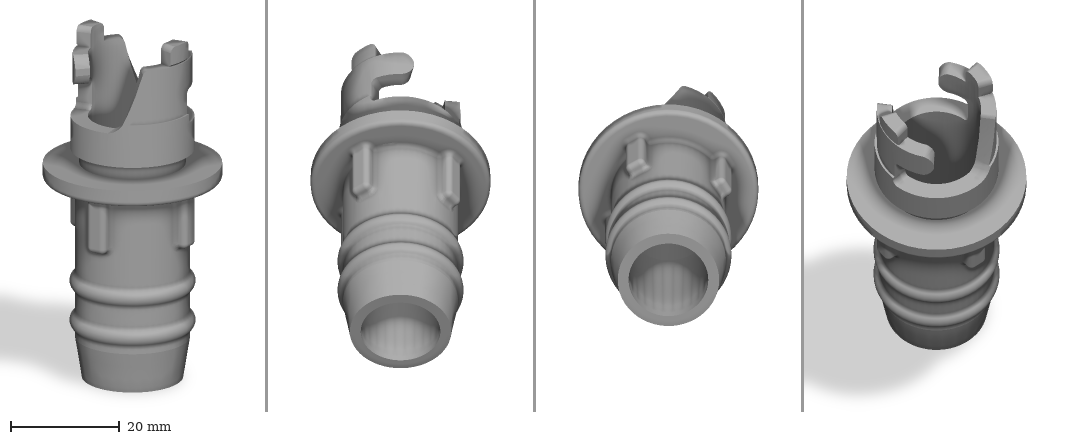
import cadquery as cq
import math

TOTAL_HEIGHT = 66.8
ARM_TOP = 63.0
SHOULDER_Z = 52.6
GAP_FLOOR = 50.8
COLLAR_BOTTOM = 44.4
FLANGE_TOP = 41.7
FLANGE_BOTTOM = 38.5
TAPER_TOP = 7.9

FLANGE_RADIUS = 16.55
COLLAR_RADIUS = 11.4
ARM_RADIUS = 11.0
NECK_RADIUS = 9.8
BARREL_RADIUS = 10.6
TIP_RADIUS = 9.35
UPPER_BORE_RADIUS = 8.2
LOWER_BORE_RADIUS = 7.35
BORE_TAPER_TOP = 26.7
FLANGE_EDGE_ROUND = 0.95

RING_CENTRES = (18.7, 11.0)
RING_RADIUS = 11.6
RING_SECTION_RADIUS = 1.7
RING_ROOT_FILLET = 1.15

RIB_COUNT = 4
RIB_RADIUS = 12.8
RIB_WIDTH = 3.9
RIB_BOTTOM = 27.4
RIB_EDGE_ROUND = 1.0
ROOT_FILLET = 0.9

HOOK_TIP_ANGLE = 230.0
HOOK_ROOT_ANGLE = 215.0
SLOPE_FOOT_ANGLE = 290.0
SLOPE_TOP_ANGLE = 314.0
GAP_MOUTH_ANGLE = 320.0
HOOK_BOTTOM = 57.25
HOOK_CORNER_ROUND = 2.2
GAP_CORNER_ROUND = 3.0
ARM_CORNER_ROUND = 0.95
NOTCH_END_ANGLE = 188.0
NOTCH_CORNER_ROUND = 1.0

PRONG_START_ANGLE = 162.4
PRONG_END_ANGLE = 192.2
PRONG_CORNER_ROUND = 1.1
PRONG_BASE_CHAMFER = 0.4

BLOCK_INNER_RADIUS = 2.7
BLOCK_OUTER_RADIUS = 20.05
CLEARANCE = 1.35
TOLERANCE = 0.01


def revolved(profile):
    """Turn a profile about Z, with the seam of its faces midway between the ribs and clear of the prongs."""
    turned = profile.close().revolve(360, (0, 0, 0), (0, 1, 0))
    return turned.rotate((0, 0, 0), (0, 0, 1), 180 / RIB_COUNT)


def half_turn_about_axis(shape):
    """Copy of a shape on the opposite side of the Z axis."""
    return shape.rotate((0, 0, 0), (0, 0, 1), 180)


def body():
    """Barrel, flange, neck, collar and uncut arm tube, undercut at the foot of the prongs."""
    profile = (
        cq.Workplane("XZ")
        .lineTo(TIP_RADIUS, 0)
        .lineTo(BARREL_RADIUS, TAPER_TOP)
        .lineTo(BARREL_RADIUS, FLANGE_BOTTOM)
        .lineTo(FLANGE_RADIUS, FLANGE_BOTTOM)
        .lineTo(FLANGE_RADIUS, FLANGE_TOP)
        .lineTo(NECK_RADIUS, FLANGE_TOP)
        .lineTo(NECK_RADIUS, COLLAR_BOTTOM)
        .lineTo(COLLAR_RADIUS, COLLAR_BOTTOM)
        .lineTo(COLLAR_RADIUS, SHOULDER_Z)
        .lineTo(ARM_RADIUS, SHOULDER_Z)
        .lineTo(ARM_RADIUS, ARM_TOP)
        .lineTo(ARM_RADIUS - PRONG_BASE_CHAMFER, ARM_TOP)
        .lineTo(ARM_RADIUS, ARM_TOP + PRONG_BASE_CHAMFER)
        .lineTo(ARM_RADIUS, TOTAL_HEIGHT)
        .lineTo(0, TOTAL_HEIGHT)
    )
    turned = revolved(profile)
    flange_edge = cq.selectors.RadiusNthSelector(-1)
    return turned.edges(flange_edge).edges("<Z").fillet(FLANGE_EDGE_ROUND)


def ring(centre_z):
    """Rounded sealing ring blended into the barrel by a fillet on each side."""
    section_centre = RING_RADIUS - RING_SECTION_RADIUS
    fillet_centre = BARREL_RADIUS + RING_ROOT_FILLET
    centre_distance = RING_SECTION_RADIUS + RING_ROOT_FILLET
    rise = math.sqrt(centre_distance**2 - (fillet_centre - section_centre) ** 2)
    share = RING_SECTION_RADIUS / centre_distance
    tangent_radius = section_centre + share * (fillet_centre - section_centre)
    tangent_rise = share * rise
    half_turn = math.atan2(rise, fillet_centre - section_centre) / 2
    middle_radius = fillet_centre - RING_ROOT_FILLET * math.cos(half_turn)
    middle_rise = rise - RING_ROOT_FILLET * math.sin(half_turn)
    profile = (
        cq.Workplane("XZ")
        .moveTo(UPPER_BORE_RADIUS, centre_z - rise)
        .lineTo(BARREL_RADIUS, centre_z - rise)
        .threePointArc((middle_radius, centre_z - middle_rise), (tangent_radius, centre_z - tangent_rise))
        .threePointArc((RING_RADIUS, centre_z), (tangent_radius, centre_z + tangent_rise))
        .threePointArc((middle_radius, centre_z + middle_rise), (BARREL_RADIUS, centre_z + rise))
        .lineTo(UPPER_BORE_RADIUS, centre_z + rise)
    )
    return revolved(profile)


def rib_pair():
    """Bar through the barrel along X whose rounded ends form two opposite ribs below the flange."""
    height = FLANGE_BOTTOM - RIB_BOTTOM
    block = cq.Workplane("XY", origin=(0, 0, RIB_BOTTOM)).rect(2 * RIB_RADIUS, RIB_WIDTH).extrude(height)
    return block.edges("|Z or <Z").fillet(RIB_EDGE_ROUND)


def radial_block(corners):
    """Solid with radial sides; corners are (angle, z, corner radius) seen unrolled at the arm radius."""
    angles = [corner[0] for corner in corners]
    middle = (min(angles) + max(angles)) / 2
    points = [(math.radians(angle - middle) * ARM_RADIUS, z) for angle, z, _ in corners]

    def wrapped(point, radius):
        """Place of an unrolled point when seen from the axis on a tangent plane."""
        return (radius * math.tan(point[0] / ARM_RADIUS), point[1])

    arcs = []
    for index, (_, _, rounding) in enumerate(corners):
        here = cq.Vector(*points[index])
        back = (cq.Vector(*points[index - 1]) - here).normalized()
        ahead = (cq.Vector(*points[(index + 1) % len(points)]) - here).normalized()
        half_angle = back.getAngle(ahead) / 2
        setback = rounding / math.tan(half_angle)
        to_arc = rounding / math.sin(half_angle) - rounding
        arc = (here + back * setback, here + (back + ahead).normalized() * to_arc, here + ahead * setback)
        arcs.append([(point.x, point.y) for point in arc])

    def outline(radius):
        """Wire on the plane tangent to a cylinder of this radius at the middle angle."""
        outward = cq.Vector(math.cos(math.radians(middle)), math.sin(math.radians(middle)), 0)
        sideways = cq.Vector(-outward.y, outward.x, 0)
        plane = cq.Plane(origin=outward * radius, xDir=sideways, normal=outward)
        path = cq.Workplane(plane).moveTo(*wrapped(arcs[0][2], radius))
        for corner, arc in zip(corners[1:] + corners[:1], arcs[1:] + arcs[:1]):
            start, bend, end = [wrapped(point, radius) for point in arc]
            path = path.lineTo(*start)
            if corner[2] > 0:
                path = path.threePointArc(bend, end)
        return path.wire().val()

    wires = [outline(BLOCK_INNER_RADIUS), outline(BLOCK_OUTER_RADIUS)]
    return cq.Workplane(cq.Solid.makeLoft(wires, True))


def arm_gap():
    """Open gap from the hook of one arm to the sloped side of the other."""
    above = TOTAL_HEIGHT + CLEARANCE
    return radial_block([
        (HOOK_ROOT_ANGLE, GAP_FLOOR, 0),
        (SLOPE_FOOT_ANGLE, GAP_FLOOR, GAP_CORNER_ROUND),
        (SLOPE_TOP_ANGLE, ARM_TOP, ARM_CORNER_ROUND),
        (GAP_MOUTH_ANGLE, ARM_TOP, 0),
        (GAP_MOUTH_ANGLE, above, 0),
        (HOOK_ROOT_ANGLE, above, 0),
        (HOOK_ROOT_ANGLE, ARM_TOP, 0),
        (HOOK_TIP_ANGLE, ARM_TOP, HOOK_CORNER_ROUND),
        (HOOK_TIP_ANGLE, HOOK_BOTTOM, HOOK_CORNER_ROUND),
        (HOOK_ROOT_ANGLE, HOOK_BOTTOM, 0),
    ])


def hook_notch():
    """Notch under the hook, running into the gap."""
    return radial_block([
        (NOTCH_END_ANGLE, GAP_FLOOR, NOTCH_CORNER_ROUND),
        (HOOK_ROOT_ANGLE, GAP_FLOOR, 0),
        (HOOK_ROOT_ANGLE, HOOK_BOTTOM, 0),
        (NOTCH_END_ANGLE, HOOK_BOTTOM, NOTCH_CORNER_ROUND),
    ])


def prong_surround():
    """Everything above the arm tops except the two prongs."""
    sector = radial_block([
        (PRONG_START_ANGLE, SHOULDER_Z, 0),
        (PRONG_END_ANGLE, SHOULDER_Z, 0),
        (PRONG_END_ANGLE, TOTAL_HEIGHT, PRONG_CORNER_ROUND),
        (PRONG_START_ANGLE, TOTAL_HEIGHT, PRONG_CORNER_ROUND),
    ])
    surround = (
        cq.Workplane("XY", origin=(0, 0, ARM_TOP))
        .circle(COLLAR_RADIUS)
        .extrude(TOTAL_HEIGHT - ARM_TOP + CLEARANCE)
    )
    return surround.cut(sector).cut(half_turn_about_axis(sector))


def bore():
    """Through bore, straight at the top and narrowing below towards the tip."""
    profile = (
        cq.Workplane("XZ")
        .lineTo(LOWER_BORE_RADIUS, 0)
        .lineTo(UPPER_BORE_RADIUS, BORE_TAPER_TOP)
        .lineTo(UPPER_BORE_RADIUS, TOTAL_HEIGHT)
        .lineTo(0, TOTAL_HEIGHT)
    )
    return revolved(profile)


def meets_at_rib_root(edge):
    """True for edges on the barrel surface or flange underside that bound the ribs or the barrel."""
    points = [edge.positionAt(share) for share in (0, 0.5, 1)]
    radii = [math.hypot(point.x, point.y) for point in points]
    on_barrel = all(abs(radius - BARREL_RADIUS) < TOLERANCE for radius in radii)
    beside_ribs = all(RIB_BOTTOM - TOLERANCE < point.z < FLANGE_BOTTOM + TOLERANCE for point in points)
    on_flange = all(abs(point.z - FLANGE_BOTTOM) < TOLERANCE for point in points)
    inside_rim = max(radii) < RIB_RADIUS + TOLERANCE
    return (on_barrel and beside_ribs) or (on_flange and inside_rim)


def add_ribs(part):
    """Join the ribs, then fillet where they meet the barrel and the flange."""
    for index in range(RIB_COUNT // 2):
        part = part.union(rib_pair().rotate((0, 0, 0), (0, 0, 1), index * 360 / RIB_COUNT))
    return part.edges().filter(meets_at_rib_root).fillet(ROOT_FILLET)


result = add_ribs(body())
for centre_z in RING_CENTRES:
    result = result.union(ring(centre_z))
result = result.cut(bore()).cut(prong_surround())
for cutter in (arm_gap(), hook_notch()):
    result = result.cut(cutter).cut(half_turn_about_axis(cutter))